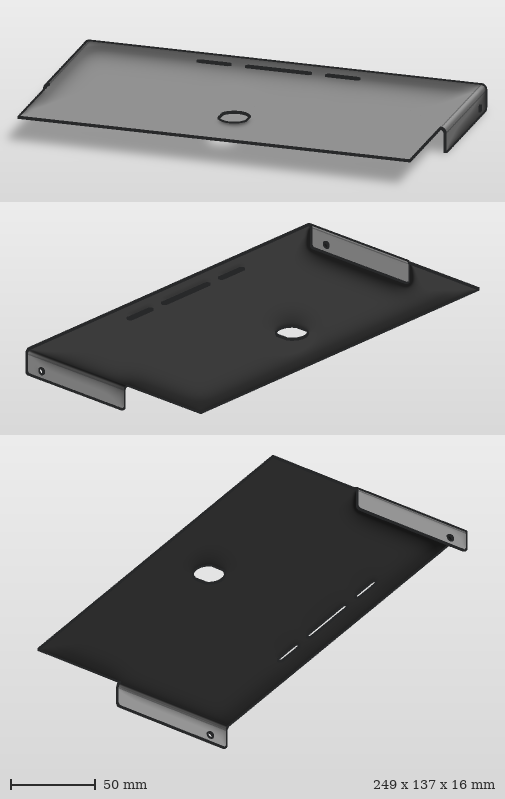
import cadquery as cq

width = 249.0
depth = 137.0
height = 16.0
thickness = 1.0
bend_outer_radius = 3.2
bend_inner_radius = bend_outer_radius - thickness
plate_width = width - 2 * bend_outer_radius

flange_length = 78.2
flange_corner_radius = 2.0
flange_hole_diameter = 4.0
flange_hole_from_back = 11.7
flange_hole_from_bottom = 5.0

slot_width = 3.2
slot_from_back = 13.7
long_slot_length = 40.3
short_slot_length = 20.7
short_slot_offset = 39.8

opening_diameter = 19.0
opening_across_flats = 17.2
opening_from_back = 98.5

back_y = depth / 2
plate_bottom_z = height - thickness
bend_center_z = height - bend_outer_radius


def make_plate():
    return (
        cq.Workplane("XY", origin=(0, 0, plate_bottom_z))
        .rect(plate_width, depth)
        .extrude(thickness)
    )


def make_left_flange():
    """Quarter-round bend and straight wall, with rounded lower corners."""
    outer_x = -width / 2
    inner_x = outer_x + thickness
    bend_end_x = outer_x + bend_outer_radius
    bend_center = cq.Vector(bend_end_x, bend_center_z)
    diagonal = cq.Vector(-1, 1).normalized()
    outer_middle = bend_center + diagonal * bend_outer_radius
    inner_middle = bend_center + diagonal * bend_inner_radius
    return (
        cq.Workplane("XZ", origin=(0, back_y, 0))
        .moveTo(outer_x, 0)
        .lineTo(outer_x, bend_center_z)
        .threePointArc((outer_middle.x, outer_middle.y), (bend_end_x, height))
        .lineTo(bend_end_x, plate_bottom_z)
        .threePointArc((inner_middle.x, inner_middle.y), (inner_x, bend_center_z))
        .lineTo(inner_x, 0)
        .close()
        .extrude(flange_length)
        .faces("<Z")
        .edges("|X")
        .fillet(flange_corner_radius)
    )


def cut_slot(body, center_x, length):
    cutter = (
        cq.Workplane("XY", origin=(center_x, back_y - slot_from_back, 0))
        .slot2D(length, slot_width)
        .extrude(height)
    )
    return body.cut(cutter)


def cut_opening(body):
    center = (0, back_y - opening_from_back, 0)
    disc = cq.Workplane("XY", origin=center).circle(opening_diameter / 2).extrude(height)
    band = cq.Workplane("XY", origin=center).rect(opening_across_flats, opening_diameter).extrude(height)
    return body.cut(disc.intersect(band))


def cut_flange_holes(body):
    center = (-width / 2, back_y - flange_hole_from_back, flange_hole_from_bottom)
    cutter = cq.Workplane("YZ", origin=center).circle(flange_hole_diameter / 2).extrude(width)
    return body.cut(cutter)


left_flange = make_left_flange()
result = make_plate().union(left_flange).union(left_flange.mirror("YZ"))
result = cut_slot(result, 0, long_slot_length)
for side in (-1, 1):
    result = cut_slot(result, side * short_slot_offset, short_slot_length)
result = cut_opening(result)
result = cut_flange_holes(result)